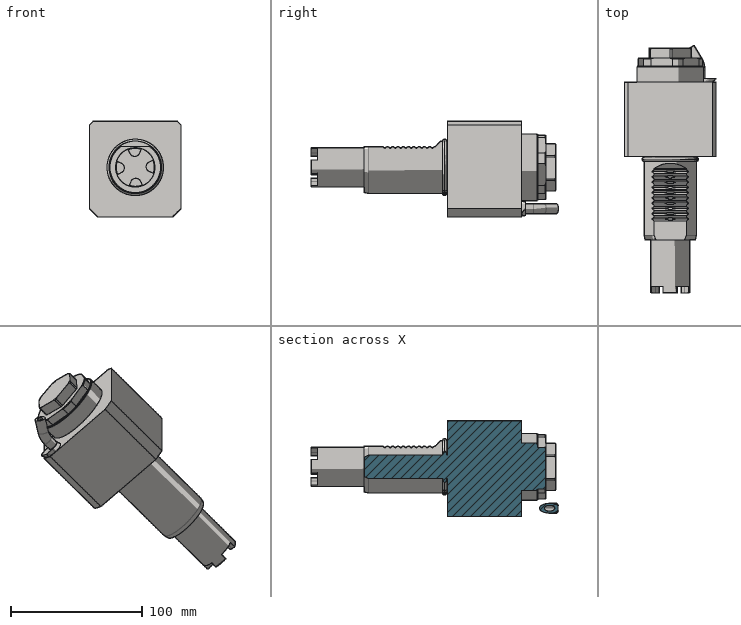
import cadquery as cq
import math


total_length = 188.7
front_length = 104.0
back_end = total_length - front_length

block_width = 70.0
block_top = 35.1
block_bottom = -38.0
block_depth = 56.6
top_chamfer = 3.0
bottom_chamfer = 6.5

shank_diameter = 40.0
shank_length = 63.5
shank_chamfer_length = 3.4
shank_chamfer_height = 0.8
ring_diameter = 43.0
ring_center = 2.0
ring_thickness = 3.2

flat_height = 15.9
flat_start = 9.2
groove_count = 10
first_groove = 11.5
last_groove = 47.5
groove_pitch = (last_groove - first_groove) / (groove_count - 1)
groove_depth = 1.5

spindle_diameter = 30.0
spindle_chamfer = 0.5
dog_length = 5.0
dog_count = 4
dog_turn = 2
dog_nose_diameter = 8.0
dog_nose_center = 12.3
dog_flank_start = 11.0
dog_outer_width = 11.3

boss_diameter = 51
boss_length = 11.5
hexagon_sides = 6
collar_diameter = 50.0
collar_length = 0.8
nut_diameter = 49.3
nut_flats = 46.2
nut_length = 6.0
nut_turn = -16.5
nut_chamfer = 0.5
hexagon_diameter = 36.2
hexagon_flats = 32
hexagon_length = 7.7
hexagon_turn = 32
hexagon_chamfer = 0.8

pipe_diameter = 8.0
pipe_bore = 4.0
pipe_x = 22.6
pipe_z = -31.5
pipe_straight = 8.9
pipe_bend_radius = 15.1
pipe_bend_angle = 31
seat_height = 3.0
seat_base_x = 25.1
seat_base_length = 14.7
seat_base_width = 11.5
seat_end_x = 26.8
seat_end_length = 16.6
seat_end_width = 10.4


def section_at(y):
    """Plane across the tool axis: local x is X, local y is Z, extrusion goes to -Y."""
    return cq.Workplane("XZ", origin=(0, y, 0))


def disc(start, length, diameter):
    """Round disc on the tool axis, growing from Y = start towards +Y."""
    return section_at(start + length).circle(diameter / 2).extrude(length)


def block_prism(depth):
    """Prism with the chamfered outline of the block, from Y = 0 to Y = depth."""
    block = (
        cq.Workplane("XY")
        .box(block_width, depth, block_top - block_bottom, centered=(True, False, False))
        .translate((0, 0, block_bottom))
    )
    block = block.edges("|Y and >Z").chamfer(top_chamfer)
    return block.edges("|Y and <Z").chamfer(bottom_chamfer)


def cut_flat(shank):
    """Cut the flat, with a 45 degree run-out next to the ring, and its cross grooves."""
    radius = shank_diameter / 2
    above = shank_diameter
    rise = above - flat_height
    side = cq.Workplane("YZ", origin=(-radius, 0, 0))
    flat = (
        side.moveTo(-shank_length, flat_height)
        .lineTo(-flat_start, flat_height)
        .lineTo(-flat_start + rise, above)
        .lineTo(-shank_length, above)
        .close()
        .extrude(shank_diameter)
    )
    shank = shank.cut(flat)
    for i in range(groove_count):
        y = -first_groove - i * groove_pitch
        groove = (
            side.moveTo(y - groove_depth, flat_height)
            .lineTo(y, flat_height - groove_depth)
            .lineTo(y + groove_depth, flat_height)
            .close()
            .extrude(shank_diameter)
        )
        shank = shank.cut(groove)
    return shank


def make_shank():
    shank = disc(-shank_length, shank_length, shank_diameter)
    shank = shank.faces("<Y").chamfer(shank_chamfer_length, shank_chamfer_height)
    ring = cq.Solid.makeTorus(
        (ring_diameter - ring_thickness) / 2,
        ring_thickness / 2,
        cq.Vector(0, -ring_center, 0),
        cq.Vector(0, 1, 0),
    )
    return cut_flat(shank).union(cq.Workplane(ring))


def make_spindle():
    """Spindle whose end face is cut back, leaving four D-shaped dogs at the rim."""
    spindle = disc(-front_length, front_length, spindle_diameter).faces("<Y").chamfer(spindle_chamfer)
    floor = section_at(-front_length + dog_length)
    nose_offset = dog_nose_center - dog_flank_start
    nose_radius = dog_nose_diameter / 2
    flank_half = math.sqrt(nose_radius**2 - nose_offset**2)
    outer_radius = spindle_diameter / 2
    dog = (
        floor.moveTo(-flank_half, dog_flank_start)
        .threePointArc((0, dog_nose_center - nose_radius), (flank_half, dog_flank_start))
        .lineTo(dog_outer_width / 2, outer_radius)
        .lineTo(-dog_outer_width / 2, outer_radius)
        .close()
        .extrude(dog_length)
    )
    waste = floor.circle(outer_radius).extrude(dog_length)
    for i in range(dog_count):
        angle = -dog_turn + i * 360 / dog_count
        waste = waste.cut(dog.rotate((0, 0, 0), (0, 1, 0), angle))
    return spindle.cut(waste)


def flatted_disc(start, length, diameter, flats, turn, end_chamfer):
    """Chamfered disc with six flats; turn moves a flat from +Z towards +X."""
    round_disc = disc(start, length, diameter).faces(">Y").chamfer(end_chamfer)
    corners = flats / math.cos(math.pi / hexagon_sides)
    hexagon = section_at(start + length).polygon(hexagon_sides, corners).extrude(length)
    return round_disc.intersect(hexagon.rotate((0, 0, 0), (0, 1, 0), turn))


def make_nut():
    collar_start = block_depth + boss_length
    nut_start = collar_start + collar_length
    hexagon_start = nut_start + nut_length
    boss = disc(block_depth, boss_length, boss_diameter)
    collar = disc(collar_start, collar_length, collar_diameter)
    nut = flatted_disc(nut_start, nut_length, nut_diameter, nut_flats, nut_turn, nut_chamfer)
    hexagon = flatted_disc(
        hexagon_start, hexagon_length, hexagon_diameter, hexagon_flats, hexagon_turn, hexagon_chamfer
    )
    return boss.union(collar).union(nut).union(hexagon)


def make_pipe():
    """Bent coolant pipe, its bored outlet ending level with the overall length."""
    sine = math.sin(math.radians(pipe_bend_angle))
    cosine = math.cos(math.radians(pipe_bend_angle))
    half_sine = math.sin(math.radians(pipe_bend_angle / 2))
    half_cosine = math.cos(math.radians(pipe_bend_angle / 2))
    bend_y = block_depth + pipe_straight
    center_x = pipe_x - pipe_bend_radius
    bend_middle = (center_x + pipe_bend_radius * half_cosine, bend_y + pipe_bend_radius * half_sine)
    bend_end = (center_x + pipe_bend_radius * cosine, bend_y + pipe_bend_radius * sine)
    tip_y = back_end - pipe_diameter / 2 * sine
    outlet_length = (tip_y - bend_end[1]) / cosine
    tip = (bend_end[0] - outlet_length * sine, tip_y)

    path = (
        cq.Workplane("XY", origin=(0, 0, pipe_z))
        .moveTo(pipe_x, block_depth)
        .lineTo(pipe_x, bend_y)
        .threePointArc(bend_middle, bend_end)
        .lineTo(*tip)
    )
    pipe = cq.Workplane("XZ", origin=(pipe_x, block_depth, pipe_z)).circle(pipe_diameter / 2).sweep(path)
    bore = cq.Solid.makeCylinder(
        pipe_bore / 2, outlet_length, cq.Vector(*tip, pipe_z), cq.Vector(sine, -cosine, 0)
    )
    return pipe.cut(cq.Workplane(bore))


def make_seat():
    """Oblong seat around the pipe, leaning towards +X and trimmed to the outline of the block."""
    seat = (
        cq.Workplane("XZ", origin=(seat_base_x, block_depth, pipe_z))
        .slot2D(seat_base_length, seat_base_width)
        .workplane(offset=-seat_height)
        .center(seat_end_x - seat_base_x, 0)
        .slot2D(seat_end_length, seat_end_width)
        .loft()
    )
    return seat.intersect(block_prism(block_depth + seat_height))


result = block_prism(block_depth)
for piece in (make_shank(), make_spindle(), make_nut(), make_seat(), make_pipe()):
    result = result.union(piece)